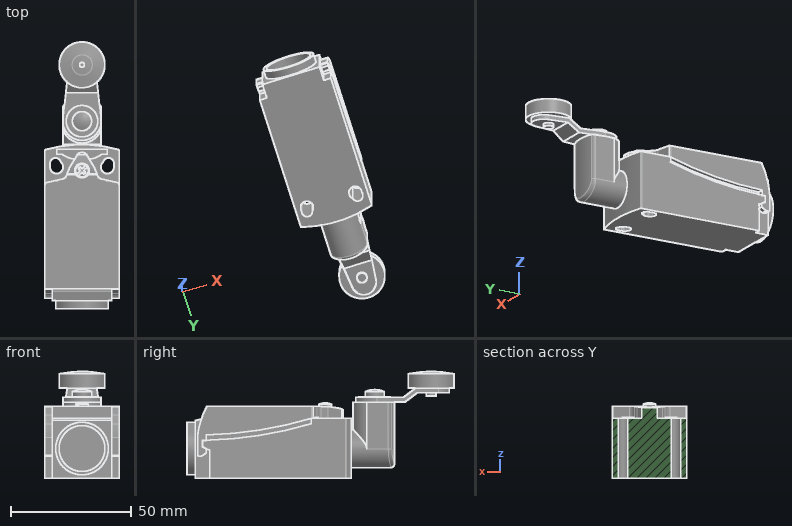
import cadquery as cq
import math


width = 31.0
half_width = width / 2
core_half_width = 12.4
flank_depth = half_width - core_half_width
top_z = 30.1
deck_z = 25.1
cover_rear_y = 51.7
rear_y = 68.4
rear_corner_y = 66.2
rear_corner_radius = 0.5
axis_z = 12.4

socket_length = 3.4
socket_diameter = 21.9
socket_bore = 19.1
socket_bore_depth = 4.0
panel_y = 8.4
roof_front_z = 24.1
roof_rear_y = 7.4
flank_front_y = 4.4
flank_foot_y = 9.4

groove_height = 2.2
groove_front_y = 8.0
groove_front_z = 18.1
tongue_tip_y = 6.4
tongue_bottom_z = 13.1
hook_tail_y = 8.1
hook_top_z = 12.2
joint_width = 0.1

ear_step_y = 56.2
ear_rear_z = 29.0
ear_front_z = 29.7
screw_y = 57.5
screw_radius = 2.7
screw_rim_z = 30.9
screw_dome_z = 31.4
screw_slot_width = 1.0
screw_slot_depth = 0.8
screw_cross_length = 3.3
screw_recess_radius = 3.0
screw_seat_z = 29.3
gap_height = 0.3
gap_front_y = 53.3
gap_length = 1.2
deck_pocket_depth = 0.4

head_radius = 8.0
head_rear_y = 86.2
head_top_z = 31.7
head_front_y = 68.9
head_front_radius = 8.4
head_rear_fillet = 1.5
head_rear_sagitta = 1.7

pivot_y = 78.0
pivot_end_radius = 8.0
roller_y = 101.5
tip_radius = 5.2
tip_y = 103.8
bend_shift = 0.8
lever_thickness = 2.0
lever_rise = 3.8
ramp_start_y = 90.7
ramp_end_y = 95.7
washer_radius = 6.5
washer_thickness = 0.2
bolt_radius = 4.0
bolt_rim_height = 2.3
bolt_dome_height = 0.9
roller_radius = 9.5
roller_height = 6.0
roller_cone_height = 0.8
roller_hub_radius = 4.2
roller_top_z = 44.5
roller_dimple_radius = 1.0
roller_dimple_depth = 0.2
rivet_radius = 2.1
rivet_length = 1.3


def prism_across(profile, half):
    """Extrude a closed YZ profile symmetrically to both sides of X = 0."""
    return profile.extrude(half, both=True)


def domed_disc(radius, bottom_z, rim_z, crown_z, y):
    """Round button on a vertical axis at (0, y) with a spherical top."""
    span = crown_z - rim_z
    sphere_radius = (radius**2 + span**2) / (2 * span)
    mid_x = radius / 2
    mid_z = crown_z - sphere_radius + math.sqrt(sphere_radius**2 - mid_x**2)
    return (
        cq.Workplane("XZ", origin=(0, y, 0))
        .moveTo(0, bottom_z)
        .lineTo(radius, bottom_z)
        .lineTo(radius, rim_z)
        .threePointArc((mid_x, mid_z), (0, crown_z))
        .close()
        .revolve(360, (0, 0, 0), (0, 1, 0))
    )


def make_flanked_body():
    """Full-width front part: side outline with the curved nose and the snap hooks."""
    profile = (
        cq.Workplane("YZ")
        .moveTo(flank_foot_y, 0)
        .lineTo(cover_rear_y, 0)
        .lineTo(cover_rear_y, top_z)
        .lineTo(panel_y, top_z)
        .lineTo(8.1, 29.7)
        .lineTo(6.5, 26.4)
        .lineTo(5.4, 22.8)
        .threePointArc((4.8, 20.0), (flank_front_y, 17.1))
        .lineTo(flank_front_y, 9.7)
        .lineTo(4.8, 9.3)
        .lineTo(6.0, 9.3)
        .threePointArc((7.1, 9.9), (hook_tail_y, 10.8))
        .lineTo(hook_tail_y, hook_top_z)
        .lineTo(flank_foot_y, 11.8)
        .close()
    )
    return prism_across(profile, half_width)


def make_panel_recess():
    """Clearance between the flanks, in front of the upright panel; the core fills its lower part."""
    return cq.Workplane("XY").box(
        2 * core_half_width, panel_y, top_z, centered=(True, False, False)
    )


def make_core():
    """Middle block with the sloping roof that carries the conduit socket."""
    profile = (
        cq.Workplane("YZ")
        .moveTo(socket_length, 0)
        .lineTo(flank_foot_y, 0)
        .lineTo(flank_foot_y, deck_z)
        .lineTo(roof_rear_y, deck_z)
        .lineTo(socket_length, roof_front_z)
        .close()
    )
    return prism_across(profile, core_half_width)


def make_rear_block():
    """Lower rear block with the bowed rear wall."""
    return (
        cq.Workplane("XY")
        .moveTo(-half_width, cover_rear_y)
        .lineTo(half_width, cover_rear_y)
        .lineTo(half_width, rear_corner_y)
        .threePointArc((0, rear_y), (-half_width, rear_corner_y))
        .close()
        .extrude(deck_z)
        .edges("|Z")
        .edges(">Y")
        .fillet(rear_corner_radius)
    )


def make_cover_ear():
    """Shoulders and tapering ear of the cover, lying on the deck."""
    ear = (
        cq.Workplane("XY", origin=(0, 0, deck_z))
        .moveTo(-half_width, cover_rear_y)
        .lineTo(half_width, cover_rear_y)
        .lineTo(15.3, 52.4)
        .lineTo(8.3, 54.0)
        .threePointArc((7.1, 54.5), (6.4, 55.5))
        .lineTo(5.2, 58.6)
        .lineTo(1.8, 64.4)
        .threePointArc((0, 65.0), (-1.8, 64.4))
        .lineTo(-5.2, 58.6)
        .lineTo(-6.4, 55.5)
        .threePointArc((-7.1, 54.5), (-8.3, 54.0))
        .lineTo(-15.3, 52.4)
        .close()
        .extrude(top_z - deck_z)
    )
    above_ear = (
        cq.Workplane("YZ")
        .moveTo(ear_step_y - (top_z - ear_front_z), top_z)
        .lineTo(ear_step_y, ear_front_z)
        .threePointArc((60.6, 29.6), (64.2, ear_rear_z))
        .lineTo(rear_y, 25.8)
        .lineTo(rear_y, top_z)
        .close()
    )
    return ear.cut(prism_across(above_ear, half_width))


def make_ear_gap():
    """Thin clearance between the cover shoulders and the deck."""
    return cq.Workplane("XY").box(
        width, gap_length, gap_height, centered=(True, False, False)
    ).translate((0, gap_front_y, deck_z))


def make_side_groove(side):
    """Curved groove between cover and lower housing, on one side (-1 or +1)."""
    upper_rear_z = deck_z - 0.1
    upper_mid = (29.4, 20.0)
    return (
        cq.Workplane("YZ", origin=(side * core_half_width, 0, 0))
        .moveTo(groove_front_y, groove_front_z)
        .threePointArc(upper_mid, (cover_rear_y, upper_rear_z))
        .lineTo(cover_rear_y, upper_rear_z - groove_height)
        .threePointArc(
            (upper_mid[0], upper_mid[1] - groove_height),
            (groove_front_y, groove_front_z - groove_height),
        )
        .close()
        .extrude(side * flank_depth)
    )


def make_hook_joint(side):
    """Fine joint where the snap hook wraps round the tip of the lower housing's tongue."""
    tongue_top_z = groove_front_z - groove_height
    return (
        cq.Workplane("YZ", origin=(side * core_half_width, 0, 0))
        .moveTo(groove_front_y, tongue_top_z)
        .lineTo(tongue_tip_y, tongue_top_z)
        .lineTo(tongue_tip_y, tongue_bottom_z)
        .lineTo(hook_tail_y, hook_top_z)
        .lineTo(hook_tail_y, hook_top_z + joint_width)
        .lineTo(tongue_tip_y + joint_width, tongue_bottom_z + joint_width)
        .lineTo(tongue_tip_y + joint_width, tongue_top_z - joint_width)
        .lineTo(groove_front_y, tongue_top_z - joint_width)
        .close()
        .extrude(side * flank_depth)
    )


def make_mounting_hole(side):
    """Through hole made of two overlapping rounds that share their outer tangent line."""
    small_radius = 2.2
    small_y = 60.5
    large_radius = 2.7
    large_y = 58.9
    outer_x = 13.2
    rounds = cq.Workplane("XY")
    for radius, y in ((small_radius, small_y), (large_radius, large_y)):
        rounds = rounds.union(
            cq.Workplane("XY").center(side * (outer_x - radius), y).circle(radius).extrude(deck_z)
        )
    straight_side = (
        cq.Workplane("XY")
        .center(side * (outer_x - small_radius / 2), (small_y + large_y) / 2)
        .rect(small_radius, small_y - large_y)
        .extrude(deck_z)
    )
    return rounds.union(straight_side)


def make_deck_pocket():
    """Shallow pocket in the deck, running in under the ear."""
    return (
        cq.Workplane("XY", origin=(0, 0, deck_z - deck_pocket_depth))
        .moveTo(-10.5, 66.4)
        .lineTo(10.5, 66.4)
        .lineTo(10.5, 64.4)
        .lineTo(8.3, 64.4)
        .spline([(6.3, 63.2), (4.2, 62.4)], includeCurrent=True)
        .lineTo(-4.2, 62.4)
        .spline([(-6.3, 63.2), (-8.3, 64.4)], includeCurrent=True)
        .lineTo(-10.5, 64.4)
        .close()
        .extrude(deck_pocket_depth)
    )


def make_cover_screw():
    """Domed cover screw with a diagonal slot and a short cross slot."""
    screw = domed_disc(screw_radius, deck_z + gap_height, screw_rim_z, screw_dome_z, screw_y)
    for length, angle in ((2 * screw_radius, 45), (screw_cross_length, -45)):
        slot = (
            cq.Workplane("XY")
            .box(length, screw_slot_width, screw_slot_depth, centered=(True, True, False))
            .rotate((0, 0, 0), (0, 0, 1), angle)
            .translate((0, screw_y, screw_dome_z - screw_slot_depth))
        )
        screw = screw.cut(slot)
    return screw


def make_screw_recess():
    """Round recess that leaves a narrow ring of clearance about the screw head."""
    return (
        cq.Workplane("XY", origin=(0, screw_y, screw_seat_z))
        .circle(screw_recess_radius)
        .extrude(top_z - screw_seat_z)
    )


def make_socket():
    return (
        cq.Workplane("XZ", origin=(0, socket_length, axis_z))
        .circle(socket_diameter / 2)
        .extrude(socket_length)
    )


def make_socket_bore():
    return (
        cq.Workplane("XZ", origin=(0, socket_bore_depth, axis_z))
        .circle(socket_bore / 2)
        .extrude(socket_bore_depth)
    )


def make_housing():
    housing = make_flanked_body().cut(make_panel_recess()).union(make_core())
    rear = make_rear_block().cut(make_deck_pocket())
    housing = housing.union(rear).union(make_cover_ear()).cut(make_ear_gap())
    for side in (-1, 1):
        housing = housing.cut(make_side_groove(side))
        housing = housing.cut(make_hook_joint(side))
        housing = housing.cut(make_mounting_hole(side))
    housing = housing.cut(make_screw_recess()).union(make_cover_screw())
    return housing.union(make_socket()).cut(make_socket_bore())


def make_elbow_blank():
    """U-shaped section along Y with a bowed rear wall and a rounded rear rim."""
    section = (
        cq.Workplane("XZ", origin=(0, head_rear_y, 0))
        .moveTo(-head_radius, axis_z)
        .threePointArc((0, axis_z - head_radius), (head_radius, axis_z))
        .lineTo(head_radius, head_top_z)
        .lineTo(-head_radius, head_top_z)
        .close()
        .extrude(head_rear_y - rear_y)
    )
    rear_corner = head_rear_y - head_rear_sagitta
    plan = (
        cq.Workplane("XY")
        .moveTo(-head_radius, rear_y)
        .lineTo(head_radius, rear_y)
        .lineTo(head_radius, rear_corner)
        .threePointArc((0, head_rear_y), (-head_radius, rear_corner))
        .close()
        .extrude(head_top_z)
    )
    return section.intersect(plan).faces(">Y").edges("not >Z").fillet(head_rear_fillet)


def make_head():
    """Elbow: a round neck along Y that turns up into a flat-sided post with a bowed front."""
    bow_center_y = head_front_y + head_front_radius
    neck_length = bow_center_y - rear_y
    front_bow = cq.Workplane("XY").center(0, bow_center_y).circle(head_front_radius).extrude(head_top_z)
    neck = cq.Workplane("XZ", origin=(0, bow_center_y, axis_z)).circle(head_radius).extrude(neck_length)
    front_waste = (
        cq.Workplane("XY")
        .box(2 * head_radius, neck_length, head_top_z - axis_z, centered=(True, False, False))
        .translate((0, rear_y, axis_z))
        .cut(front_bow)
        .cut(neck)
    )
    return make_elbow_blank().cut(front_waste)


def make_arm():
    """Cranked strip, cut to a tapered outline with round ends."""
    high_z = head_top_z + lever_rise
    strip = (
        cq.Workplane("YZ")
        .moveTo(pivot_y - pivot_end_radius, head_top_z)
        .lineTo(ramp_start_y, head_top_z)
        .lineTo(ramp_end_y, high_z)
        .lineTo(tip_y + tip_radius, high_z)
        .lineTo(tip_y + tip_radius, high_z + lever_thickness)
        .lineTo(ramp_end_y - bend_shift, high_z + lever_thickness)
        .lineTo(ramp_start_y - bend_shift, head_top_z + lever_thickness)
        .lineTo(pivot_y - pivot_end_radius, head_top_z + lever_thickness)
        .close()
    )
    strip = prism_across(strip, pivot_end_radius)

    taper_sin = (pivot_end_radius - tip_radius) / (tip_y - pivot_y)
    taper_cos = math.sqrt(1 - taper_sin**2)
    wide_x = pivot_end_radius * taper_cos
    wide_y = pivot_y + pivot_end_radius * taper_sin
    narrow_x = tip_radius * taper_cos
    narrow_y = tip_y + tip_radius * taper_sin
    outline = (
        cq.Workplane("XY")
        .moveTo(-wide_x, wide_y)
        .threePointArc((0, pivot_y - pivot_end_radius), (wide_x, wide_y))
        .lineTo(narrow_x, narrow_y)
        .threePointArc((0, tip_y + tip_radius), (-narrow_x, narrow_y))
        .close()
        .extrude(roller_top_z)
    )
    return strip.intersect(outline)


def make_roller(bottom_z):
    """Roller with a conical top face, a domed hub and a centre dimple."""
    rim_z = bottom_z + roller_height
    hub_z = rim_z + roller_cone_height
    roller = (
        cq.Workplane("XY", origin=(0, roller_y, bottom_z))
        .circle(roller_radius)
        .extrude(roller_height)
    )
    cone = (
        cq.Workplane("XZ", origin=(0, roller_y, 0))
        .moveTo(0, rim_z)
        .lineTo(roller_radius, rim_z)
        .lineTo(roller_hub_radius, hub_z)
        .lineTo(0, hub_z)
        .close()
        .revolve(360, (0, 0, 0), (0, 1, 0))
    )
    hub = domed_disc(roller_hub_radius, rim_z, hub_z, roller_top_z, roller_y)
    dimple = (
        cq.Workplane("XY", origin=(0, roller_y, roller_top_z - roller_dimple_depth))
        .circle(roller_dimple_radius)
        .extrude(roller_dimple_depth)
    )
    return roller.union(cone).union(hub).cut(dimple)


def make_pivot_bolt():
    """Washer and domed bolt head on top of the arm."""
    arm_top_z = head_top_z + lever_thickness
    washer_top_z = arm_top_z + washer_thickness
    rim_z = arm_top_z + bolt_rim_height
    washer = (
        cq.Workplane("XY", origin=(0, pivot_y, arm_top_z))
        .circle(washer_radius)
        .extrude(washer_thickness)
    )
    return washer.union(domed_disc(bolt_radius, washer_top_z, rim_z, rim_z + bolt_dome_height, pivot_y))


def make_lever():
    high_z = head_top_z + lever_rise
    rivet = (
        cq.Workplane("XY", origin=(0, roller_y, high_z - rivet_length))
        .circle(rivet_radius)
        .extrude(rivet_length)
    )
    roller = make_roller(high_z + lever_thickness)
    return make_arm().union(make_pivot_bolt()).union(rivet).union(roller)


housing = make_housing()
head = make_head()
lever = make_lever()

result = cq.Compound.makeCompound([housing.val(), head.val(), lever.val()])